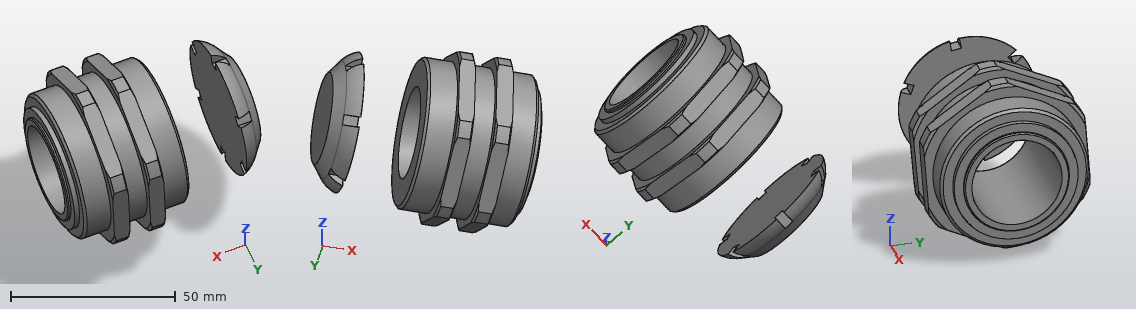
import cadquery as cq
import math


cap_face_radius = 14.2
cap_cone_radius = 18.3
cap_rim_radius = 21.7
cap_cone_length = 3.25
cap_length = 7.9
cap_arc_bulge = 0.45
slot_count = 6
slot_width = 3.1
slot_tilt = 10.6

barrel_radius = 23.4
barrel_start = 27.4
barrel_end = 62.2
barrel_chamfer = 0.85
bore_radius = 14.2
rear_step_radius = 19.5
rear_step_end = 63.8
tip_radius = 16.6
housing_end = 64.8
tip_chamfer = 0.4

collar_sides = 6
collar_flats = 50.9
collar_corner_radius = 28.0
collar_face_radius = 26.9
collar_bevel = 0.5
front_collar_start = 36.6
front_collar_end = 41.6
front_collar_tilt = 5.1
rear_collar_start = 48.35
rear_collar_end = 53.5
rear_collar_tilt = 4.4


def turned(profile):
    """Revolve a closed (X, radius) outline about the X axis."""
    return profile.close().revolve(360, (0, 0, 0), (1, 0, 0))


def disc(start, end, radius):
    return cq.Workplane("YZ", origin=(start, 0, 0)).circle(radius).extrude(end - start)


def make_cap():
    rim_length = cap_length - cap_cone_length
    rim_rise = cap_rim_radius - cap_cone_radius
    chord = math.hypot(rim_length, rim_rise)
    arc_middle = (
        cap_cone_length + rim_length / 2 - cap_arc_bulge * rim_rise / chord,
        cap_cone_radius + rim_rise / 2 + cap_arc_bulge * rim_length / chord,
    )
    cap = turned(
        cq.Workplane("XY")
        .lineTo(0, cap_face_radius)
        .lineTo(cap_cone_length, cap_cone_radius)
        .threePointArc(arc_middle, (cap_length, cap_rim_radius))
        .lineTo(cap_length, 0)
    )
    slot = cq.Workplane("XY").box(
        cap_length, slot_width, cap_rim_radius, centered=(False, True, False)
    ).translate((0, 0, cap_cone_radius))
    for index in range(slot_count):
        angle = slot_tilt + index * 360 / slot_count
        cap = cap.cut(slot.rotate((0, 0, 0), (1, 0, 0), angle))
    return cap


def make_collar(start, end, tilt):
    """Hexagon with a corner close to +Z, its corners turned round and bevelled."""
    hexagon = (
        cq.Workplane("YZ", origin=(start, 0, 0))
        .polygon(collar_sides, collar_flats, circumscribed=True)
        .extrude(end - start)
        .rotate((0, 0, 0), (1, 0, 0), tilt)
    )
    envelope = turned(
        cq.Workplane("XY")
        .moveTo(start, 0)
        .lineTo(start, collar_face_radius)
        .lineTo(start + collar_bevel, collar_corner_radius)
        .lineTo(end - collar_bevel, collar_corner_radius)
        .lineTo(end, collar_face_radius)
        .lineTo(end, 0)
    )
    return hexagon.intersect(envelope)


def make_housing():
    barrel = disc(barrel_start, barrel_end, barrel_radius).edges().chamfer(barrel_chamfer)
    rear_step = disc(barrel_end, rear_step_end, rear_step_radius)
    tip = disc(rear_step_end, housing_end, tip_radius).faces(">X").chamfer(tip_chamfer)
    bore = disc(barrel_start, housing_end, bore_radius)
    return (
        barrel.union(rear_step)
        .union(tip)
        .union(make_collar(front_collar_start, front_collar_end, front_collar_tilt))
        .union(make_collar(rear_collar_start, rear_collar_end, rear_collar_tilt))
        .cut(bore)
    )


cap = make_cap()
housing = make_housing()

result = cq.Compound.makeCompound([cap.val(), housing.val()])